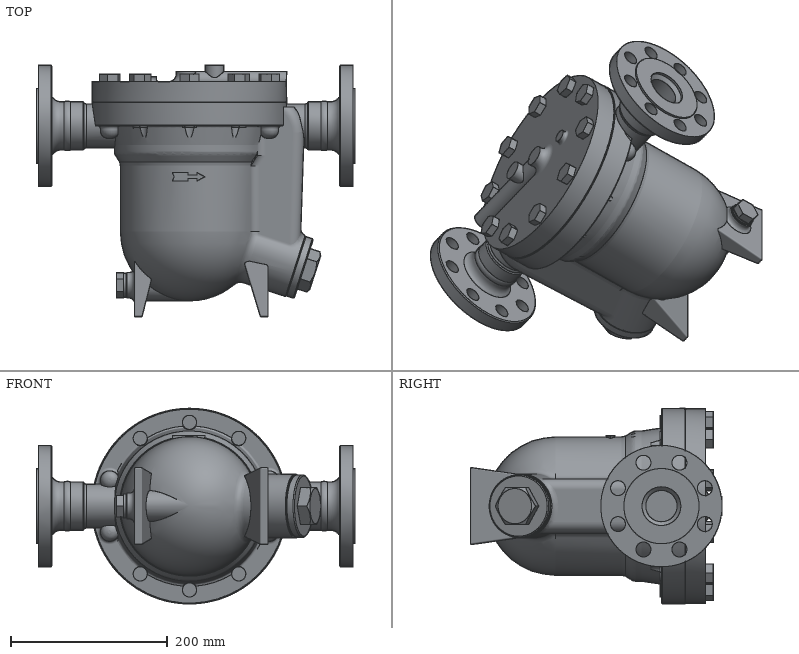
import cadquery as cq
import math


QUARTER_MID = 1 - math.sqrt(0.5)
HEX_CORNER_RATIO = 1 / math.cos(math.pi / 6)
EDGE_MARGIN = 1.0

COVER_R = 124.4
COVER_BACK_Y = 56.5
GASKET_Y = 30.8
GASKET_THICK = 1.0
GASKET_R = 123.0
FLANGE_R = 125.0
FLANGE_FRONT_Y = 0.0
FLANGE_CHAMFER = 1.2
FLANGE_FLAT_BACK_X = 124.5
FLANGE_FLAT_FRONT_X = 120.0
NECK_TOP_R = 99.5
NECK_ROOT_FILLET = 3.0
NECK_R = 96.0
NECK_TAPER_Y = -25.0
NECK_END_Y = -33.0
NECK_SHOULDER_DROP = 1.7
NECK_SHOULDER_Y = -38.0
NECK_SLOPE_END_R = 89.5
NECK_SLOPE_END_Y = -46.0
SHELL_R = 88.5
SHELL_START_Y = -51.0
DOME_CENTRE_Y = -135.0

BOLT_COUNT = 10
BOLT_CIRCLE_R = 107.0
BOLT_D = 18.0
BOLT_END_Y = -1.8
BOLT_HEAD_FLATS = 24.0
BOLT_HEAD_HEIGHT = 9.7
SPOTFACE_D = 19.0
SPOTFACE_LENGTH = 25.0
BLIND_BOSS_R = 12.0
BLIND_BOSS_END_Y = -16.0
BLIND_BOSS_ROUND = 10.0
BLIND_BOSS_FOOT = 4.0

DUCT_R = 13.0
DUCT_START_X = -17.0
DUCT_FOOT = 10.0
SMALL_BOSS_X = -50.0
SMALL_BOSS_R = 8.0
SMALL_BOSS_FOOT = 3.0
SMALL_BOSS_TOP_Y = 63.0
COVER_BOSS_X = 32.0
COVER_BOSS_D = 24.0
COVER_BOSS_TOP_Y = 77.5

FACE_TO_FACE = 407.0
PIPE_MID_X = 8.0
PIPE_R = 28.0
HUB_R = 31.0
HUB_LENGTH = 61.0
HUB_EDGE_CHAMFER = 1.5
RAISED_FACE_R = 48.0
RAISED_FACE_THICK = 2.5
PIPE_FLANGE_R = 77.5
PIPE_FLANGE_BACK = 20.0
PIPE_FLANGE_CHAMFER = 1.5
HUB_ROOT_R = 35.5
HUB_ROOT_BEVEL = 1.5
PIPE_FLARE_LENGTH = 3.0
PIPE_FLARE_HEIGHT = 1.0
HUB_ROOT_LENGTH = 11.0
WELD_START = 35.5
WELD_LENGTH = 8.0
WELD_HEIGHT = 0.8
PIPE_HOLE_D = 19.0
PIPE_HOLE_CIRCLE_R = 60.0
PIPE_HOLE_COUNT = 8
BORE_R = 20.0
SOCKET_R = 24.75
SOCKET_LIP = 3.0
SOCKET_DEPTH = 8.0
BORE_DEPTH = 100.0

RISER_HALF_Z = 34.7
RISER_TOP_Y = 24.0
RISER_TOP_X = 133.5
RISER_BEND_X = 143.0
RISER_BEND_Y = 8.0
RISER_OUTER_TOP_X = 146.5
RISER_OUTER_TOP_Y = -8.0
RISER_OUTER_LOW_X = 141.3
RISER_LOW_Y = -165.0
RISER_EDGE_ROUND = 14.0
RISER_BLEND = 12.0
RISER_FOOT_BLEND = 9.0

STRAINER_ANGLE = 18.0
STRAINER_R = 41.0
STRAINER_BLEND = 12.0
STRAINER_END = 142.0
STRAINER_GAP_R = 39.0
STRAINER_GAP = 1.5
STRAINER_CAP_R = 40.0
STRAINER_CAP_END = 153.5
STRAINER_CAP_CHAMFER = 1.5
STRAINER_HEX_FLATS = 47.0
STRAINER_HEX_END = 169.0
STRAINER_HEX_FACE_D = 45.0

DRAIN_R = 20.0
DRAIN_Y = DOME_CENTRE_Y - SHELL_R + DRAIN_R
DRAIN_FOOT_R = 21.5
DRAIN_FOOT_X = -70.5
DRAIN_NECK_R = 16.5
DRAIN_NECK_X = -78.0
DRAIN_NECK_END_X = -80.0
DRAIN_GROOVE_R = 14.5
DRAIN_GROOVE_X = -81.0
DRAIN_WASHER_R = 15.5
DRAIN_WASHER_X = -84.0
DRAIN_HEX_FLATS = 27.7
DRAIN_HEX_X = -93.5

FOOT_BOTTOM_Y = -244.0
FOOT_HALF_Z = 49.5
FOOT_SIDE_SLOPE = 0.145
FOOT_TIP_THICK = 10.0
FOOT_ROUND = 2.0
FOOT_TOP_Y = -165.0
LEFT_FOOT_X = -70.5
LEFT_FOOT_SLOPE = 0.25
RIGHT_FOOT_X = 100.5
RIGHT_FOOT_SLOPE = 0.30

ARROW_X = -22.0
ARROW_Y = -65.0
ARROW_TAIL_LENGTH = 20.0
ARROW_NOTCH = 2.5
ARROW_HEAD_X = 9.5
ARROW_TIP_X = 19.5
ARROW_HALF_WIDTH = 5.5
ARROW_STEM_HALF = 2.3
ARROW_RELIEF = 1.5


def revolve_y(profile):
    """Revolve an (r, y) profile about the vessel axis."""
    return profile.close().revolve(360, (0, 0, 0), (0, 1, 0))


def revolve_x(profile):
    """Revolve an (x, r) profile about the pipe axis."""
    return profile.close().revolve(360, (0, 0, 0), (1, 0, 0))


def rod_y(x, z, radius, y_low, y_high):
    """Cylinder along Y."""
    axis = cq.Vector(0, 1, 0)
    return cq.Workplane(cq.Solid.makeCylinder(radius, y_high - y_low, cq.Vector(x, y_low, z), axis))


def bolt_places():
    """(x, z, angle in degrees) of every cover bolt."""
    step = 360.0 / BOLT_COUNT
    for i in range(BOLT_COUNT):
        angle = step / 2 + i * step
        turn = math.radians(angle)
        yield BOLT_CIRCLE_R * math.cos(turn), BOLT_CIRCLE_R * math.sin(turn), angle


def is_beside_pipe(x):
    """True for the four bolts that end blind in bosses next to the pipes."""
    return abs(x) > SHELL_R


def make_cover():
    gasket_front = GASKET_Y - GASKET_THICK
    cover = rod_y(0, 0, COVER_R, GASKET_Y, COVER_BACK_Y)
    return cover.union(rod_y(0, 0, GASKET_R, gasket_front, GASKET_Y))


def make_body_flange():
    back = GASKET_Y - GASKET_THICK
    disc = rod_y(0, 0, FLANGE_R, FLANGE_FRONT_Y, back).faces("<Y").chamfer(FLANGE_CHAMFER)
    drafted_block = (
        cq.Workplane("XY")
        .moveTo(-FLANGE_FLAT_BACK_X, back)
        .lineTo(FLANGE_FLAT_BACK_X, back)
        .lineTo(FLANGE_FLAT_FRONT_X, FLANGE_FRONT_Y)
        .lineTo(-FLANGE_FLAT_FRONT_X, FLANGE_FRONT_Y)
        .close()
        .extrude(FLANGE_R, both=True)
    )
    return disc.intersect(drafted_block)


def make_vessel():
    dome_mid = SHELL_R * (1 - QUARTER_MID)
    root = NECK_ROOT_FILLET
    root_mid = root * QUARTER_MID
    return revolve_y(
        cq.Workplane("XY")
        .moveTo(0, GASKET_Y - GASKET_THICK)
        .lineTo(NECK_TOP_R + root, GASKET_Y - GASKET_THICK)
        .lineTo(NECK_TOP_R + root, FLANGE_FRONT_Y)
        .threePointArc(
            (NECK_TOP_R + root_mid, FLANGE_FRONT_Y - root_mid), (NECK_TOP_R, FLANGE_FRONT_Y - root)
        )
        .lineTo(NECK_R, NECK_TAPER_Y)
        .lineTo(NECK_R, NECK_END_Y)
        .tangentArcPoint((NECK_R - NECK_SHOULDER_DROP, NECK_SHOULDER_Y), relative=False)
        .lineTo(NECK_SLOPE_END_R, NECK_SLOPE_END_Y)
        .lineTo(SHELL_R, SHELL_START_Y)
        .lineTo(SHELL_R, DOME_CENTRE_Y)
        .threePointArc((dome_mid, DOME_CENTRE_Y - dome_mid), (0, DOME_CENTRE_Y - SHELL_R))
    )


def make_bolt(x, z, angle):
    """Bolt from its hex head on the cover to its end at the body flange."""
    corner_d = BOLT_HEAD_FLATS * HEX_CORNER_RATIO
    turn = math.radians(angle)
    seat = cq.Plane(origin=(x, COVER_BACK_Y, z), xDir=(math.cos(turn), 0, math.sin(turn)), normal=(0, 1, 0))
    head = cq.Workplane(seat).polygon(6, corner_d).extrude(BOLT_HEAD_HEIGHT)
    return head.union(rod_y(x, z, BOLT_D / 2, BOLT_END_Y, COVER_BACK_Y))


def make_blind_boss(x, z):
    """Domed boss with a concave foot around a blind bolt end."""
    foot = BLIND_BOSS_FOOT
    foot_mid = foot * QUARTER_MID
    round_mid = BLIND_BOSS_ROUND * QUARTER_MID
    boss = revolve_y(
        cq.Workplane("XY")
        .moveTo(0, GASKET_Y / 2)
        .lineTo(BLIND_BOSS_R, GASKET_Y / 2)
        .lineTo(BLIND_BOSS_R + foot, FLANGE_FRONT_Y + FLANGE_CHAMFER)
        .lineTo(BLIND_BOSS_R + foot, FLANGE_FRONT_Y)
        .threePointArc(
            (BLIND_BOSS_R + foot_mid, FLANGE_FRONT_Y - foot_mid), (BLIND_BOSS_R, FLANGE_FRONT_Y - foot)
        )
        .lineTo(BLIND_BOSS_R, BLIND_BOSS_END_Y + BLIND_BOSS_ROUND)
        .threePointArc(
            (BLIND_BOSS_R - round_mid, BLIND_BOSS_END_Y + round_mid),
            (BLIND_BOSS_R - BLIND_BOSS_ROUND, BLIND_BOSS_END_Y),
        )
        .lineTo(0, BLIND_BOSS_END_Y)
    )
    return boss.translate((x, 0, z))


def make_footed_boss(x, radius, foot, top_y):
    """Round boss on the cover with a concave foot."""
    foot_mid = foot * QUARTER_MID
    boss = revolve_y(
        cq.Workplane("XY")
        .moveTo(0, COVER_BACK_Y)
        .lineTo(radius + foot, COVER_BACK_Y)
        .threePointArc((radius + foot_mid, COVER_BACK_Y + foot_mid), (radius, COVER_BACK_Y + foot))
        .lineTo(radius, top_y)
        .lineTo(0, top_y)
    )
    return boss.translate((x, 0, 0))


def make_cover_duct():
    """Half-round duct on the cover, running out to its +X rim, and the bosses near it."""
    end_x = DUCT_START_X + DUCT_R
    axis = cq.Vector(1, 0, 0)
    start = cq.Vector(end_x, COVER_BACK_Y, 0)
    duct = cq.Workplane(cq.Solid.makeCylinder(DUCT_R, COVER_R - end_x, start, axis))
    duct = duct.intersect(rod_y(0, 0, COVER_R, GASKET_Y, COVER_BOSS_TOP_Y))
    duct_end = make_footed_boss(end_x, DUCT_R, DUCT_FOOT, COVER_BACK_Y + DUCT_R)
    boss = rod_y(COVER_BOSS_X, 0, COVER_BOSS_D / 2, COVER_BACK_Y, COVER_BOSS_TOP_Y)
    small_boss = make_footed_boss(SMALL_BOSS_X, SMALL_BOSS_R, SMALL_BOSS_FOOT, SMALL_BOSS_TOP_Y)
    return duct.union(duct_end).union(boss).union(small_boss)


def make_pipe():
    """One flanged pipe along +X, from the vessel axis to its raised face."""
    end = FACE_TO_FACE / 2
    face = end - RAISED_FACE_THICK
    back = end - PIPE_FLANGE_BACK
    hub_end = back - HUB_ROOT_LENGTH
    weld_out = end - WELD_START
    weld_in = weld_out - WELD_LENGTH
    hub_start = end - HUB_LENGTH
    chamfer = PIPE_FLANGE_CHAMFER
    pipe = revolve_x(
        cq.Workplane("XY")
        .moveTo(0, 0)
        .lineTo(0, PIPE_R)
        .lineTo(hub_start - PIPE_FLARE_LENGTH, PIPE_R)
        .lineTo(hub_start, PIPE_R + PIPE_FLARE_HEIGHT)
        .lineTo(hub_start, HUB_R - HUB_EDGE_CHAMFER)
        .lineTo(hub_start + HUB_EDGE_CHAMFER, HUB_R)
        .lineTo(weld_in, HUB_R)
        .threePointArc(((weld_in + weld_out) / 2, HUB_R + WELD_HEIGHT), (weld_out, HUB_R))
        .lineTo(hub_end, HUB_R)
        .tangentArcPoint((back - HUB_ROOT_BEVEL, HUB_ROOT_R), relative=False)
        .lineTo(back, HUB_ROOT_R + HUB_ROOT_BEVEL)
        .lineTo(back, PIPE_FLANGE_R - chamfer)
        .lineTo(back + chamfer, PIPE_FLANGE_R)
        .lineTo(face, PIPE_FLANGE_R)
        .lineTo(face, RAISED_FACE_R)
        .lineTo(end, RAISED_FACE_R)
        .lineTo(end, 0)
    )
    half_step = 180.0 / PIPE_HOLE_COUNT
    holes = (
        cq.Workplane("YZ", origin=(back, 0, 0))
        .polarArray(PIPE_HOLE_CIRCLE_R, half_step, 360, PIPE_HOLE_COUNT)
        .circle(PIPE_HOLE_D / 2)
        .extrude(PIPE_FLANGE_BACK)
    )
    return pipe.cut(holes)


def make_pipe_bore():
    """Blind bore with a tapered mouth, matching make_pipe."""
    end = FACE_TO_FACE / 2
    return revolve_x(
        cq.Workplane("XY")
        .moveTo(end, 0)
        .lineTo(end, SOCKET_R)
        .lineTo(end - SOCKET_LIP, SOCKET_R)
        .lineTo(end - SOCKET_DEPTH, BORE_R)
        .lineTo(end - BORE_DEPTH, BORE_R)
        .lineTo(end - BORE_DEPTH, 0)
    )


def at_both_ends(tool):
    """Copy of a +X pipe shape at the outlet and its mirror image at the inlet."""
    return tool.union(tool.mirror("YZ")).translate((PIPE_MID_X, 0, 0))


def draw_web_section(plane, shell_r):
    """Slab section between the vessel axis and the riser, filleted to a shell of this radius."""
    centre_z = RISER_HALF_Z + RISER_BLEND
    centre_x = math.sqrt((shell_r + RISER_BLEND) ** 2 - centre_z ** 2)
    on_shell = shell_r / (shell_r + RISER_BLEND)
    web_x = centre_x * on_shell
    web_z = centre_z * on_shell
    half_turn = math.atan2(centre_x, centre_z) / 2
    middle_x = centre_x - RISER_BLEND * math.sin(half_turn)
    middle_z = centre_z - RISER_BLEND * math.cos(half_turn)
    return (
        plane.moveTo(0, -web_z)
        .lineTo(web_x, -web_z)
        .threePointArc((middle_x, -middle_z), (centre_x, -RISER_HALF_Z))
        .lineTo(centre_x, RISER_HALF_Z)
        .threePointArc((middle_x, middle_z), (web_x, web_z))
        .lineTo(0, web_z)
        .close()
    )


def make_riser_web(shell_r, y_low, y_high):
    """Straight stretch of the filleted slab along a cylindrical shell."""
    plane = cq.Workplane("XZ", origin=(0, y_high, 0))
    return draw_web_section(plane, shell_r).extrude(y_high - y_low)


def make_riser_web_shoulder():
    """Tapered stretch of the filleted slab, from the neck down to the shell."""
    plane = cq.Workplane("XZ", origin=(0, NECK_SHOULDER_Y, 0))
    section = draw_web_section(plane, NECK_R)
    section = section.workplane(offset=NECK_SHOULDER_Y - SHELL_START_Y)
    return draw_web_section(section, SHELL_R).loft(ruled=True)


def make_riser():
    """Passage with rounded outer edges, blended into the shell and the neck."""
    block = (
        cq.Workplane("XY")
        .moveTo(0, RISER_TOP_Y)
        .lineTo(RISER_TOP_X, RISER_TOP_Y)
        .threePointArc((RISER_BEND_X, RISER_BEND_Y), (RISER_OUTER_TOP_X, RISER_OUTER_TOP_Y))
        .lineTo(RISER_OUTER_LOW_X, RISER_LOW_Y)
        .lineTo(0, RISER_LOW_Y)
        .close()
        .extrude(RISER_HALF_Z, both=True)
    )
    outer_edges = cq.selectors.BoxSelector(
        (RISER_OUTER_LOW_X - EDGE_MARGIN, RISER_LOW_Y, -FLANGE_R),
        (RISER_OUTER_TOP_X + EDGE_MARGIN, RISER_TOP_Y, FLANGE_R),
    )
    block = block.edges("not |Z").edges(outer_edges).fillet(RISER_EDGE_ROUND)
    shell_web = make_riser_web(SHELL_R, DOME_CENTRE_Y, SHELL_START_Y)
    neck_web = make_riser_web(NECK_R, NECK_SHOULDER_Y, FLANGE_FRONT_Y)
    return block.union(shell_web).union(make_riser_web_shoulder()).union(neck_web)


def make_strainer():
    """Inclined strainer branch with its cap and hex plug, built along +X then tilted."""
    centre_r = STRAINER_R + STRAINER_BLEND
    blend_end = math.sqrt((SHELL_R + STRAINER_BLEND) ** 2 - centre_r ** 2)
    on_dome = SHELL_R / (SHELL_R + STRAINER_BLEND)
    start = (blend_end * on_dome, centre_r * on_dome)
    blend_turn = math.atan2(blend_end, centre_r) / 2
    middle = (
        blend_end - STRAINER_BLEND * math.sin(blend_turn),
        centre_r - STRAINER_BLEND * math.cos(blend_turn),
    )
    cap_start = STRAINER_END + STRAINER_GAP
    branch = revolve_x(
        cq.Workplane("XY")
        .moveTo(0, 0)
        .lineTo(*start)
        .threePointArc(middle, (blend_end, STRAINER_R))
        .lineTo(STRAINER_END, STRAINER_R)
        .lineTo(STRAINER_END, STRAINER_GAP_R)
        .lineTo(cap_start, STRAINER_GAP_R)
        .lineTo(cap_start, STRAINER_CAP_R)
        .lineTo(STRAINER_CAP_END - STRAINER_CAP_CHAMFER, STRAINER_CAP_R)
        .lineTo(STRAINER_CAP_END, STRAINER_CAP_R - STRAINER_CAP_CHAMFER)
        .lineTo(STRAINER_CAP_END, 0)
    )
    corner_d = STRAINER_HEX_FLATS * HEX_CORNER_RATIO
    hex_height = STRAINER_HEX_END - STRAINER_CAP_END
    plug = cq.Workplane("YZ", origin=(STRAINER_CAP_END, 0, 0)).polygon(6, corner_d).extrude(hex_height)
    trim_drop = (corner_d - STRAINER_HEX_FACE_D) / 2 * math.tan(math.pi / 6)
    envelope = revolve_x(
        cq.Workplane("XY")
        .moveTo(STRAINER_CAP_END, 0)
        .lineTo(STRAINER_CAP_END, corner_d / 2)
        .lineTo(STRAINER_HEX_END - trim_drop, corner_d / 2)
        .lineTo(STRAINER_HEX_END, STRAINER_HEX_FACE_D / 2)
        .lineTo(STRAINER_HEX_END, 0)
    )
    branch = branch.union(plug.intersect(envelope))
    return branch.rotate((0, 0, 0), (0, 0, 1), -STRAINER_ANGLE).translate((0, DOME_CENTRE_Y, 0))


def make_outlet_passage():
    """Riser and strainer branch joined with a fillet where the riser meets the branch."""
    passage = make_riser().union(make_strainer())
    junction = cq.selectors.BoxSelector(
        (SHELL_R - EDGE_MARGIN, RISER_LOW_Y, -STRAINER_R),
        (RISER_OUTER_TOP_X, DOME_CENTRE_Y, STRAINER_R),
        boundingbox=True,
    )
    return passage.edges(junction).fillet(RISER_FOOT_BLEND)


def make_drain():
    """Drain boss tangent to the lowest point of the dome, with its hex plug."""
    flare_middle = (
        DRAIN_FOOT_X + (DRAIN_NECK_X - DRAIN_FOOT_X) * QUARTER_MID,
        DRAIN_NECK_R + (DRAIN_FOOT_R - DRAIN_NECK_R) * QUARTER_MID,
    )
    boss = revolve_x(
        cq.Workplane("XY")
        .moveTo(0, 0)
        .lineTo(0, DRAIN_R)
        .lineTo(DRAIN_FOOT_X, DRAIN_R)
        .lineTo(DRAIN_FOOT_X, DRAIN_FOOT_R)
        .threePointArc(flare_middle, (DRAIN_NECK_X, DRAIN_NECK_R))
        .lineTo(DRAIN_NECK_END_X, DRAIN_NECK_R)
        .lineTo(DRAIN_NECK_END_X, DRAIN_GROOVE_R)
        .lineTo(DRAIN_GROOVE_X, DRAIN_GROOVE_R)
        .lineTo(DRAIN_GROOVE_X, DRAIN_WASHER_R)
        .lineTo(DRAIN_WASHER_X, DRAIN_WASHER_R)
        .lineTo(DRAIN_WASHER_X, 0)
    )
    corner_d = DRAIN_HEX_FLATS * HEX_CORNER_RATIO
    plug = (
        cq.Workplane("YZ", origin=(DRAIN_HEX_X, 0, 0))
        .polygon(6, corner_d)
        .extrude(DRAIN_WASHER_X - DRAIN_HEX_X)
    )
    return boss.union(plug).translate((0, DRAIN_Y, 0))


def make_foot(outer_x, inward, slope):
    """Wedge foot; inward is +1 or -1, the X direction towards the vessel axis."""
    height = FOOT_TOP_Y - FOOT_BOTTOM_Y
    wedge = (
        cq.Workplane("XY")
        .moveTo(outer_x, FOOT_BOTTOM_Y)
        .lineTo(outer_x + inward * FOOT_TIP_THICK, FOOT_BOTTOM_Y)
        .lineTo(outer_x + inward * (FOOT_TIP_THICK + slope * height), FOOT_TOP_Y)
        .lineTo(outer_x, FOOT_TOP_Y)
        .close()
        .extrude(FOOT_HALF_Z, both=True)
    )
    top_half_z = FOOT_HALF_Z - FOOT_SIDE_SLOPE * height
    plate = (
        cq.Workplane("YZ", origin=(outer_x, 0, 0))
        .moveTo(FOOT_BOTTOM_Y, -FOOT_HALF_Z)
        .lineTo(FOOT_BOTTOM_Y, FOOT_HALF_Z)
        .lineTo(FOOT_TOP_Y, top_half_z)
        .lineTo(FOOT_TOP_Y, -top_half_z)
        .close()
        .extrude(inward * SHELL_R)
    )
    return wedge.intersect(plate).edges("not >Y").fillet(FOOT_ROUND)


def make_arrow():
    """Raised flow arrow on the +Z side of the shell."""
    tail_end = ARROW_X + ARROW_TAIL_LENGTH
    outline = (
        cq.Workplane("XY")
        .moveTo(ARROW_X, -ARROW_HALF_WIDTH)
        .lineTo(tail_end, -ARROW_HALF_WIDTH)
        .lineTo(tail_end, -ARROW_STEM_HALF)
        .lineTo(ARROW_HEAD_X, -ARROW_STEM_HALF)
        .lineTo(ARROW_HEAD_X, -ARROW_HALF_WIDTH)
        .lineTo(ARROW_TIP_X, 0)
        .lineTo(ARROW_HEAD_X, ARROW_HALF_WIDTH)
        .lineTo(ARROW_HEAD_X, ARROW_STEM_HALF)
        .lineTo(tail_end, ARROW_STEM_HALF)
        .lineTo(tail_end, ARROW_HALF_WIDTH)
        .lineTo(ARROW_X, ARROW_HALF_WIDTH)
        .lineTo(ARROW_X + ARROW_NOTCH, 0)
        .close()
    )
    return outline.extrude(SHELL_R + ARROW_RELIEF).translate((0, ARROW_Y, 0))


result = make_vessel().union(make_body_flange()).union(make_cover()).union(make_cover_duct())
for bolt_x, bolt_z, bolt_angle in bolt_places():
    if is_beside_pipe(bolt_x):
        continue
    spotface = rod_y(bolt_x, bolt_z, SPOTFACE_D / 2, FLANGE_FRONT_Y - SPOTFACE_LENGTH, FLANGE_FRONT_Y)
    result = result.cut(spotface)

result = result.union(at_both_ends(make_pipe()))
result = result.union(make_outlet_passage())
result = result.union(make_drain())
result = result.union(make_foot(LEFT_FOOT_X, 1, LEFT_FOOT_SLOPE))
result = result.union(make_foot(RIGHT_FOOT_X, -1, RIGHT_FOOT_SLOPE))
for bolt_x, bolt_z, bolt_angle in bolt_places():
    result = result.union(make_bolt(bolt_x, bolt_z, bolt_angle))
    if is_beside_pipe(bolt_x):
        result = result.union(make_blind_boss(bolt_x, bolt_z))
result = result.union(make_arrow())
result = result.cut(at_both_ends(make_pipe_bore()))